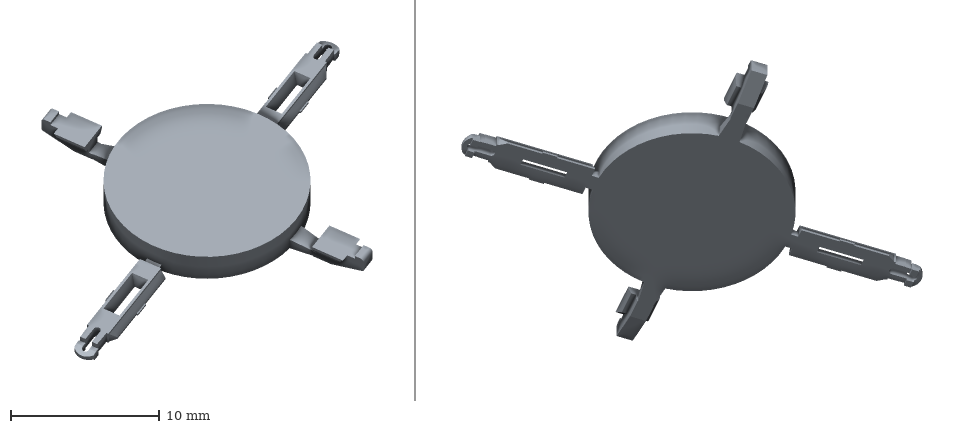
import cadquery as cq
import math

DISC_DIAMETER = 14.0
DISC_HEIGHT = 2.2
DISC_RADIUS = DISC_DIAMETER / 2
ROOT_OVERLAP = 0.2
ROOT = DISC_RADIUS - ROOT_OVERLAP

HOOK_SPAN = 25.35
HOOK_TIP = HOOK_SPAN / 2
HOOK_WIDTH = 1.15
HOOK_TOP = 1.85
HOOK_INNER_FACE = 11.95
HOOK_TOP_FILLET = 0.3
HOOK_TIP_BOTTOM = 0.7
HOOK_BEVEL_TOP = 0.9
HOOK_BEVEL_DEPTH = 0.05
UNDERSIDE_KNEE = 10.1
HOOK_STEP = 8.67
HOOK_NECK_HEIGHT = 0.5
HOOK_NECK_ROOT_HEIGHT = 0.83
HOOK_NECK_WIDTH = 1.1
HOOK_NECK_ROOT_WIDTH = 1.5

PAD_INNER = 8.95
PAD_OUTER = 11.35
PAD_WIDTH = 2.3
PAD_TOP = 1.6
PAD_RIM_BOTTOM = 1.35
PAD_BOTTOM = 0.95
PAD_BOTTOM_WIDTH = 1.85

ARM_INNER = 7.48
ARM_OUTER = 14.45
ARM_HEIGHT = 0.9
ARM_TOP_WIDTH = 1.65
ARM_BASE_WIDTH = 2.35
ARM_BASE_HEIGHT = 0.15
ARM_LIP_BOTTOM = 0.73
ARM_CORNER_START = 13.82
ARM_CORNER_END = 14.32
ARM_NECK_WIDTH = 1.13
ARM_NECK_HEIGHT = 0.45
ARM_NECK_ROOT_HEIGHT = 0.63

WINDOW_INNER = 8.85
WINDOW_OUTER = 12.63
WINDOW_TOP_WIDTH = 1.25
WINDOW_BOTTOM_WIDTH = 0.5
WINDOW_END_TAPER = 0.3

BUMP_INNER = 10.25
BUMP_OUTER = 11.3
BUMP_WIDTH = 2.55

LOOP_SPAN = 33.23
LOOP_TIP = LOOP_SPAN / 2
LEG_OUTER = 15.65
LEG_WIDTH = 1.35
LEG_STEP = 15.25
LEG_END_WIDTH = 1.33
RING_WIDTH = 1.53
RING_NOSE_RADIUS = 1.0
RING_TOP = 0.5
RING_BOTTOM = -0.15
RING_FLAT_END = 16.0
TIP_TOP = 0.3
LIP_OUTER = 16.15
SLOT_WIDTH = 0.5
SLOT_INNER = 14.3
SLOT_OUTER = 16.28


def block(start, end, width, bottom, top):
    """Box running outward along +X, centred on the XZ plane."""
    return (
        cq.Workplane("XY")
        .box(end - start, width, top - bottom, centered=(False, True, False))
        .translate((start, 0, bottom))
    )


def side_profile(points, width):
    """Prism with an XZ outline, centred on the XZ plane."""
    return cq.Workplane("XZ").polyline(points).close().extrude(width / 2, both=True)


def plan_profile(points, bottom, top):
    """Prism with an XY outline between two heights."""
    return cq.Workplane("XY").workplane(offset=bottom).polyline(points).close().extrude(top - bottom)


def make_pad():
    """Flat pad with an upright rim and sides that taper in underneath."""
    half_rim = PAD_WIDTH / 2
    half_bottom = PAD_BOTTOM_WIDTH / 2
    section = [
        (-half_rim, PAD_TOP),
        (half_rim, PAD_TOP),
        (half_rim, PAD_RIM_BOTTOM),
        (half_bottom, PAD_BOTTOM),
        (-half_bottom, PAD_BOTTOM),
        (-half_rim, PAD_RIM_BOTTOM),
    ]
    pad = (
        cq.Workplane("YZ")
        .workplane(offset=PAD_INNER)
        .polyline(section)
        .close()
        .extrude(PAD_OUTER - PAD_INNER)
    )
    slope = PAD_TOP - PAD_BOTTOM
    end_cut = side_profile(
        [(PAD_OUTER, PAD_TOP), (PAD_OUTER, PAD_BOTTOM), (PAD_OUTER - slope, PAD_BOTTOM)],
        PAD_WIDTH,
    )
    return pad.cut(end_cut)


def make_hook_arm():
    """Hook arm pointing along +X, with its flared neck and pad."""
    body = side_profile(
        [
            (HOOK_STEP, 0),
            (UNDERSIDE_KNEE, 0),
            (HOOK_TIP - HOOK_BEVEL_DEPTH, HOOK_TIP_BOTTOM),
            (HOOK_TIP, HOOK_BEVEL_TOP),
            (HOOK_TIP, HOOK_TOP),
            (HOOK_INNER_FACE, HOOK_TOP),
            (HOOK_INNER_FACE, PAD_TOP),
            (PAD_INNER, PAD_TOP),
            (PAD_INNER, HOOK_NECK_HEIGHT),
            (HOOK_STEP, HOOK_NECK_HEIGHT),
        ],
        HOOK_WIDTH,
    )
    body = body.edges("|Y and >X and >Z").fillet(HOOK_TOP_FILLET)

    neck = side_profile(
        [
            (ROOT, 0),
            (HOOK_STEP, 0),
            (HOOK_STEP, HOOK_NECK_HEIGHT),
            (DISC_RADIUS, HOOK_NECK_ROOT_HEIGHT),
            (ROOT, HOOK_NECK_ROOT_HEIGHT),
        ],
        HOOK_NECK_ROOT_WIDTH,
    )
    neck_plan = plan_profile(
        [
            (ROOT, -HOOK_NECK_ROOT_WIDTH / 2),
            (DISC_RADIUS, -HOOK_NECK_ROOT_WIDTH / 2),
            (HOOK_STEP, -HOOK_NECK_WIDTH / 2),
            (HOOK_STEP, HOOK_NECK_WIDTH / 2),
            (DISC_RADIUS, HOOK_NECK_ROOT_WIDTH / 2),
            (ROOT, HOOK_NECK_ROOT_WIDTH / 2),
        ],
        0,
        HOOK_NECK_ROOT_HEIGHT,
    )
    return body.union(neck.intersect(neck_plan)).union(make_pad())


def make_window():
    """Funnel-shaped window, widest at the top of the arm."""
    top_length = WINDOW_OUTER - WINDOW_INNER
    return (
        cq.Workplane("XY")
        .center((WINDOW_INNER + WINDOW_OUTER) / 2, 0)
        .rect(top_length - 2 * WINDOW_END_TAPER, WINDOW_BOTTOM_WIDTH)
        .workplane(offset=ARM_HEIGHT)
        .rect(top_length, WINDOW_TOP_WIDTH)
        .loft(ruled=True)
    )


def make_arm_bar():
    """Bar with sloping sides, angled outer corners, side bumps and window."""
    half_base = ARM_BASE_WIDTH / 2
    half_top = ARM_TOP_WIDTH / 2
    section = [
        (-half_base, 0),
        (half_base, 0),
        (half_base, ARM_BASE_HEIGHT),
        (half_top, ARM_LIP_BOTTOM),
        (half_top, ARM_HEIGHT),
        (-half_top, ARM_HEIGHT),
        (-half_top, ARM_LIP_BOTTOM),
        (-half_base, ARM_BASE_HEIGHT),
    ]
    bar = (
        cq.Workplane("YZ")
        .workplane(offset=ARM_INNER)
        .polyline(section)
        .close()
        .extrude(ARM_OUTER - ARM_INNER)
    )
    plan = plan_profile(
        [
            (ARM_INNER, -half_base),
            (ARM_CORNER_START, -half_base),
            (ARM_CORNER_END, -half_top),
            (ARM_OUTER, -half_top),
            (ARM_OUTER, half_top),
            (ARM_CORNER_END, half_top),
            (ARM_CORNER_START, half_base),
            (ARM_INNER, half_base),
        ],
        0,
        ARM_HEIGHT,
    )
    bumps = block(BUMP_INNER, BUMP_OUTER, BUMP_WIDTH, 0, ARM_BASE_HEIGHT)
    return bar.intersect(plan).union(bumps).cut(make_window())


def make_loop():
    """Pair of legs ending in a low ring with a rounded, sloping nose."""
    legs = block(ARM_OUTER, LEG_STEP, LEG_WIDTH, 0, ARM_HEIGHT)
    legs = legs.union(block(LEG_STEP, LEG_OUTER, LEG_END_WIDTH, 0, ARM_HEIGHT))

    half_ring = RING_WIDTH / 2
    nose_centre = LOOP_TIP - RING_NOSE_RADIUS
    nose_side = nose_centre + math.sqrt(RING_NOSE_RADIUS**2 - half_ring**2)
    plan = (
        cq.Workplane("XY")
        .workplane(offset=RING_BOTTOM)
        .moveTo(LEG_OUTER, -half_ring)
        .lineTo(nose_side, -half_ring)
        .threePointArc((LOOP_TIP, 0), (nose_side, half_ring))
        .lineTo(LEG_OUTER, half_ring)
        .close()
        .extrude(RING_TOP - RING_BOTTOM)
    )
    profile = side_profile(
        [
            (LEG_OUTER, RING_BOTTOM),
            (LIP_OUTER, RING_BOTTOM),
            (LIP_OUTER, 0),
            (LOOP_TIP, 0),
            (LOOP_TIP, TIP_TOP),
            (RING_FLAT_END, RING_TOP),
            (LEG_OUTER, RING_TOP),
        ],
        RING_WIDTH,
    )
    return legs.union(plan.intersect(profile))


def make_loop_slot():
    """Round-ended slot between the two legs."""
    return (
        cq.Workplane("XY")
        .workplane(offset=RING_BOTTOM)
        .center((SLOT_INNER + SLOT_OUTER) / 2, 0)
        .slot2D(SLOT_OUTER - SLOT_INNER, SLOT_WIDTH)
        .extrude(ARM_HEIGHT - RING_BOTTOM)
    )


def make_slotted_arm():
    """Slotted arm pointing along +X, with its short neck."""
    neck = side_profile(
        [
            (ROOT, 0),
            (ARM_INNER, 0),
            (ARM_INNER, ARM_NECK_HEIGHT),
            (DISC_RADIUS, ARM_NECK_ROOT_HEIGHT),
            (ROOT, ARM_NECK_ROOT_HEIGHT),
        ],
        ARM_NECK_WIDTH,
    )
    return make_arm_bar().union(make_loop()).cut(make_loop_slot()).union(neck)


hook_arm = make_hook_arm()
slotted_arm = make_slotted_arm()

result = cq.Workplane("XY").circle(DISC_RADIUS).extrude(DISC_HEIGHT)
for arm, angles in ((hook_arm, (0, 180)), (slotted_arm, (90, 270))):
    for angle in angles:
        result = result.union(arm.rotate((0, 0, 0), (0, 0, 1), angle))